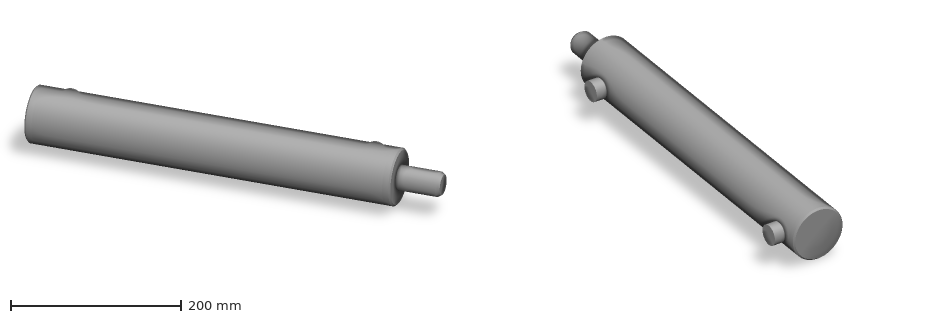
import cadquery as cq

total_length = 510.0
barrel_radius = 35.0
body_length = 456.0

end_thickness = 9.5
end_chamfer = 2.0

rod_radius = 15.5
rod_tip_length = 4.5
rod_tip_inset = 3.0

port_radius = 13.5
port_rise = 15.5
port_rim_height = 14.0
port_taper = 3.5
port_positions = [30.0, 409.5]

barrel_length = body_length - 2 * end_thickness
gland_start = body_length - end_thickness


def x_cylinder(start, length, radius):
    """Solid cylinder along +X, starting at the given X position."""
    return cq.Workplane("YZ", origin=(start, 0, 0)).circle(radius).extrude(length)


def make_end_cap():
    """Plain disc with a chamfered outer face."""
    return x_cylinder(0, end_thickness, barrel_radius).faces("<X").chamfer(end_chamfer)


def make_barrel():
    """Main cylinder between the end cap and the gland."""
    return x_cylinder(end_thickness, barrel_length, barrel_radius)


def make_gland():
    """Chamfered disc with a through hole that guides the rod."""
    disc = x_cylinder(gland_start, end_thickness, barrel_radius).faces(">X").chamfer(end_chamfer)
    return disc.cut(x_cylinder(gland_start, end_thickness, rod_radius))


def make_rod():
    """Rod seated through the gland, with a tapered outer tip."""
    tip_start = total_length - rod_tip_length
    rod_profile = [
        (gland_start, 0),
        (gland_start, rod_radius),
        (tip_start, rod_radius),
        (total_length, rod_radius - rod_tip_inset),
        (total_length, 0),
    ]
    return cq.Workplane("XY").polyline(rod_profile).close().revolve(360, (0, 0, 0), (1, 0, 0))


def make_port(position):
    """Round boss with a bevelled foot, saddled onto the barrel."""
    outer_face = barrel_radius + port_rise
    bevel_top = outer_face - port_rim_height
    bevel_bottom = bevel_top - port_taper
    foot_radius = port_radius - port_taper
    foot_end = barrel_radius - port_radius
    profile = [
        (0, foot_end),
        (foot_radius, foot_end),
        (foot_radius, bevel_bottom),
        (port_radius, bevel_top),
        (port_radius, outer_face),
        (0, outer_face),
    ]
    boss = cq.Workplane("XY").polyline(profile).close().revolve(360, (0, 0, 0), (0, 1, 0))
    boss = boss.translate((position, 0, 0))
    return boss.cut(x_cylinder(0, body_length, barrel_radius))


end_cap = make_end_cap()
barrel = make_barrel()
gland = make_gland()
rod = make_rod()
ports = [make_port(position) for position in port_positions]

result = cq.Compound.makeCompound([
    end_cap.val(),
    barrel.val(),
    gland.val(),
    rod.val(),
    *[port.val() for port in ports],
])